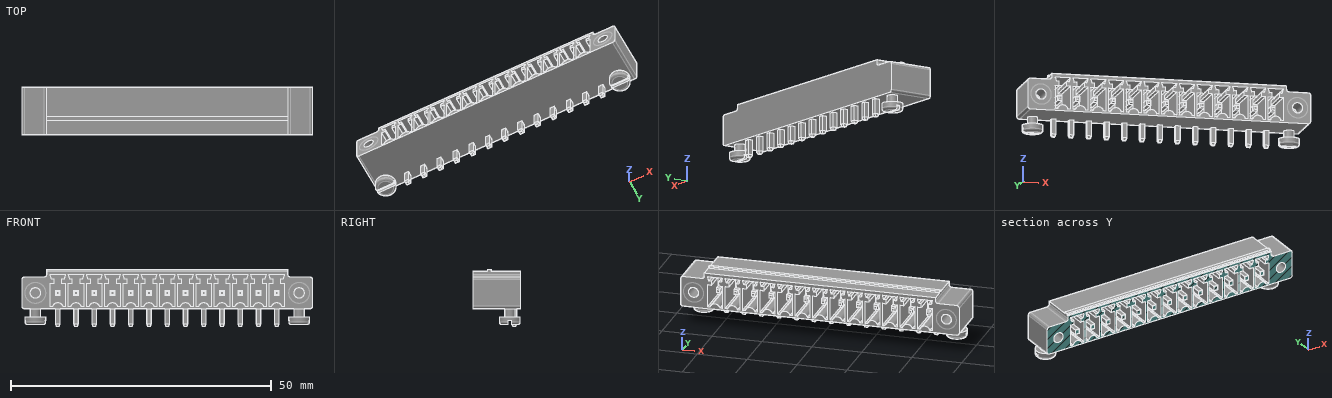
import cadquery as cq


pole_count = 13
pitch = 3.5
row_length = (pole_count - 1) * pitch
pole_positions = [i * pitch - row_length / 2 for i in range(pole_count)]

total_length = 55.8
depth = 9.2
flange_height = 6.1
body_height = 7.25
body_length = 46.3
edge_radius = 0.5
axis_height = flange_height / 2

rib_height = 0.3
rib_width = 0.75
rib_front = 2.8

cavity_width = 3.0
cavity_bottom = 0.42
cavity_top = 6.55
cavity_depth = 7.0
neck_width = 1.45
neck_bottom = 4.9
neck_top = 5.75
head_base_width = 2.5
arch_width = 2.0
arch_height = 0.75

pin_width = 0.9
pin_thickness = 1.0
pin_row_y = 7.95
pin_reach = 3.4
pin_front = 2.0
tip_size = 0.55
tip_length = 0.5

fixing_inset = 2.6
fixing_x = total_length / 2 - fixing_inset
insert_diameter = 4.0
thread_diameter = 2.0
insert_depth = 5.0
screw_y = 7.1
screw_head_diameter = 4.0
screw_head_top = -1.55
screw_head_height = 1.5
screw_head_radius = 0.5
screw_slot_width = 0.6
screw_slot_depth = 0.8


def extrude_back(outline, distance):
    """Extrude an XZ-plane outline from the mating face toward +Y."""
    return outline.extrude(-distance)


def make_housing():
    flanges = (
        cq.Workplane("XY")
        .box(total_length, depth, flange_height, centered=(True, False, False))
        .edges("|Y")
        .fillet(edge_radius)
    )
    body = cq.Workplane("XY").box(body_length, depth, body_height, centered=(True, False, False))
    housing = flanges.union(body)
    for side in (-1, 1):
        foot = cq.selectors.NearestToPointSelector((side * body_length / 2, depth / 2, flange_height))
        housing = housing.edges("|Y").edges(foot).fillet(edge_radius)
    rib = (
        cq.Workplane("XY")
        .box(body_length, rib_width, rib_height, centered=(True, False, False))
        .translate((0, rib_front, body_height))
    )
    return housing.union(rib)


def make_cavity(x):
    half_width = cavity_width / 2
    half_neck = neck_width / 2
    half_head = head_base_width / 2
    half_arch = arch_width / 2
    outline = (
        cq.Workplane("XZ")
        .moveTo(-half_width, cavity_bottom)
        .lineTo(-half_arch, cavity_bottom)
        .threePointArc((0, cavity_bottom + arch_height), (half_arch, cavity_bottom))
        .lineTo(half_width, cavity_bottom)
        .lineTo(half_width, neck_bottom)
        .lineTo(half_neck, neck_bottom)
        .lineTo(half_neck, neck_top)
        .lineTo(half_head, neck_top)
        .lineTo(half_width, cavity_top)
        .lineTo(-half_width, cavity_top)
        .lineTo(-half_head, neck_top)
        .lineTo(-half_neck, neck_top)
        .lineTo(-half_neck, neck_bottom)
        .lineTo(-half_width, neck_bottom)
        .close()
    )
    return extrude_back(outline, cavity_depth).translate((x, 0, 0))


def make_pin_leg(length):
    """Rectangular bar along +Z from the origin, ending in a tapered tip."""
    shank_length = length - tip_length
    shank = cq.Workplane("XY").rect(pin_width, pin_thickness).extrude(shank_length)
    tip = (
        cq.Workplane("XY", origin=(0, 0, shank_length))
        .rect(pin_width, pin_thickness)
        .workplane(offset=tip_length)
        .rect(tip_size, tip_size)
        .loft()
    )
    return shank.union(tip)


def make_pin(x):
    """Right-angle pin: a contact toward the mating face and a solder leg down."""
    contact = make_pin_leg(pin_row_y - pin_front).rotate((0, 0, 0), (1, 0, 0), 90)
    leg = make_pin_leg(axis_height + pin_reach).rotate((0, 0, 0), (1, 0, 0), 180)
    return contact.union(leg).translate((x, pin_row_y, axis_height))


def make_insert_disc(x, diameter):
    outline = cq.Workplane("XZ").center(x, axis_height).circle(diameter / 2)
    return extrude_back(outline, insert_depth)


def make_screw(x):
    head_bottom = screw_head_top - screw_head_height
    head = (
        cq.Workplane("XY")
        .circle(screw_head_diameter / 2)
        .extrude(screw_head_height)
        .faces("<Z")
        .edges()
        .fillet(screw_head_radius)
    )
    slot = cq.Workplane("XY").box(
        screw_head_diameter, screw_slot_width, screw_slot_depth, centered=(True, True, False)
    )
    shank = cq.Workplane("XY").circle(thread_diameter / 2).extrude(axis_height - head_bottom)
    return head.union(shank).cut(slot).translate((x, screw_y, head_bottom))


result = make_housing()
for pole_x in pole_positions:
    result = result.cut(make_cavity(pole_x)).union(make_pin(pole_x))

for side in (-1, 1):
    flange_x = side * fixing_x
    thread = make_insert_disc(flange_x, thread_diameter)
    insert = make_insert_disc(flange_x, insert_diameter).cut(thread)
    result = result.union(make_screw(flange_x), clean=False)
    result = result.cut(make_insert_disc(flange_x, insert_diameter), clean=False)
    result = result.union(insert, clean=False)